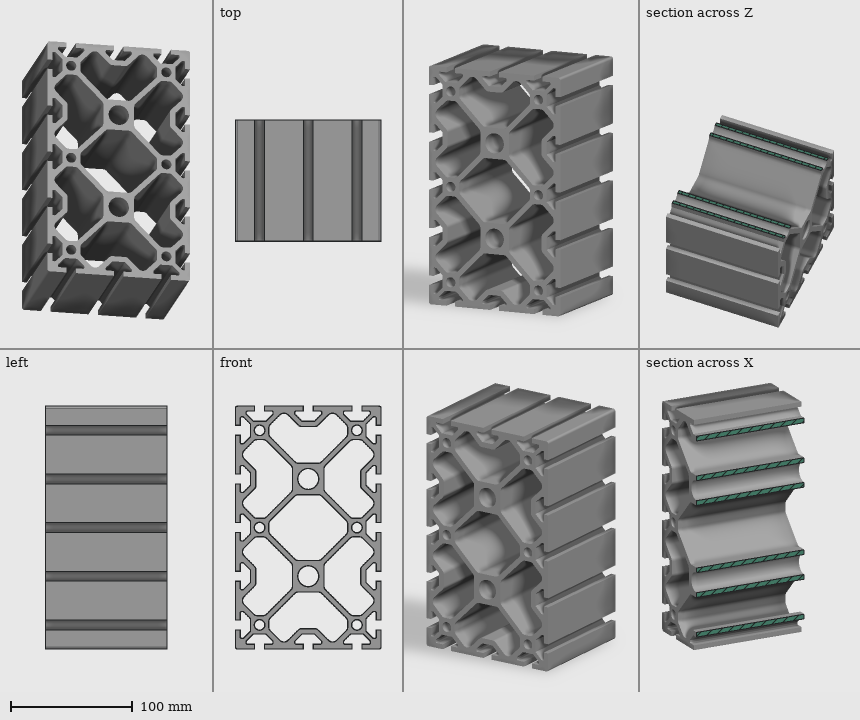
import cadquery as cq
import math

width = 120.0
height = 200.0
length = 100.0
outer_corner_radius = 2.0

pitch = 40.0
slot_opening = 8.0
lip_thickness = 4.2
slot_half_width = 11.0
slot_depth = 12.5
slot_floor_half_width = 5.1
slot_corner_radius = 1.0

wall = 4.5
web_thickness = 4.4
pad_half_width = 7.7
hub_half_width = 13.0
chamber_peak_radius = 5.0
chamber_corner_radius = 4.0

screw_bore_diameter = 8.5
hub_bore_diameter = 17.0

columns = [-pitch, 0.0, pitch]
rows = [-2 * pitch, -pitch, 0.0, pitch, 2 * pitch]
screw_bore_centres = [(x, z) for x in (-pitch, pitch) for z in (-2 * pitch, 0.0, 2 * pitch)]
hub_centres = [(0.0, -pitch), (0.0, pitch)]

web_offset = web_thickness / math.sqrt(2)


def extruded(points):
    """Prism through the whole length from a closed XZ outline, centred on Y."""
    return cq.Workplane("XZ").polyline(points).close().extrude(length / 2, both=True)


def edges_near(x, z):
    """Selector for the lengthwise edge through (x, z)."""
    reach = 0.1
    return cq.selectors.BoxSelector((x - reach, -length, z - reach), (x + reach, length, z + reach))


def round_edges(prism, points, radius):
    """Round the lengthwise edges of a prism at the given outline points."""
    for x, z in points:
        prism = prism.edges(edges_near(x, z)).fillet(radius)
    return prism


def mirrored(half_outline):
    """Complete an outline from its +X half, listed in order along Z."""
    return half_outline + [(-x, z) for x, z in reversed(half_outline)]


def slot_cutter():
    """T-slot opening upward, with the outer face at Z = 0."""
    flare_end_depth = slot_depth - (slot_half_width - slot_floor_half_width)
    under_lip = (slot_half_width, -lip_thickness)
    flare_end = (slot_half_width, -flare_end_depth)
    half_outline = [
        (slot_opening / 2, 0.0),
        (slot_opening / 2, -lip_thickness),
        under_lip,
        flare_end,
        (slot_floor_half_width, -slot_depth),
    ]
    corners = mirrored([under_lip, flare_end])
    return round_edges(extruded(mirrored(half_outline)), corners, slot_corner_radius)


def edge_chamber_cutter():
    """Chamber between a slot and its hub, with the outer face at Z = 0."""
    floor_depth = slot_depth + wall
    flare_sum = slot_depth + slot_floor_half_width + wall * math.sqrt(2)
    peak_x = pitch / 2
    pad_x = pitch - pad_half_width
    hub_depth = width / 2 - hub_half_width
    web_sum = width / 2 - web_offset
    peak = (peak_x, peak_x - flare_sum)
    floor_corner = (flare_sum - floor_depth, -floor_depth)
    pad_corner = (pad_x, pitch - pad_x - flare_sum)
    web_corner = (pad_x, pad_x - web_sum)
    hub_corner = (web_sum - hub_depth, -hub_depth)
    corners = [floor_corner, pad_corner, web_corner, hub_corner]
    prism = extruded(mirrored([floor_corner, peak, pad_corner, web_corner, hub_corner]))
    prism = round_edges(prism, mirrored([peak]), chamber_peak_radius)
    return round_edges(prism, mirrored(corners), chamber_corner_radius)


def centre_chamber_cutter():
    """Eight-sided chamber between the two hubs and the two middle pads."""
    pad_x = pitch - pad_half_width
    hub_z = pitch - hub_half_width
    web_sum = pitch - web_offset
    hub_x = web_sum - hub_z
    pad_z = web_sum - pad_x
    right_half = [(hub_x, -hub_z), (pad_x, -pad_z), (pad_x, pad_z), (hub_x, hub_z)]
    outline = mirrored(right_half)
    return round_edges(extruded(outline), outline, chamber_corner_radius)


def bores(centres, diameter):
    """Full-length round bores at the given XZ centres."""
    return cq.Workplane("XZ").pushPoints(centres).circle(diameter / 2).extrude(length / 2, both=True)


def on_end_faces(cutter, x):
    """Place an upward-opening cutter at the top and bottom faces."""
    top = cutter.translate((x, 0, height / 2))
    return [top, top.mirror("XY")]


def on_side_faces(cutter, z):
    """Place an upward-opening cutter at the two X faces."""
    right = cutter.rotate((0, 0, 0), (0, 1, 0), 90).translate((width / 2, 0, z))
    return [right, right.mirror("YZ")]


slot = slot_cutter()
chamber = edge_chamber_cutter()
cutters = [centre_chamber_cutter()]
for column in columns:
    cutters += on_end_faces(slot, column)
for row in rows:
    cutters += on_side_faces(slot, row)
cutters += on_end_faces(chamber, 0.0)
for _, hub_z in hub_centres:
    cutters += on_side_faces(chamber, hub_z)
cutters.append(bores(screw_bore_centres, screw_bore_diameter))
cutters.append(bores(hub_centres, hub_bore_diameter))

result = cq.Workplane("XY").box(width, length, height).edges("|Y").fillet(outer_corner_radius)
for cutter in cutters:
    result = result.cut(cutter)